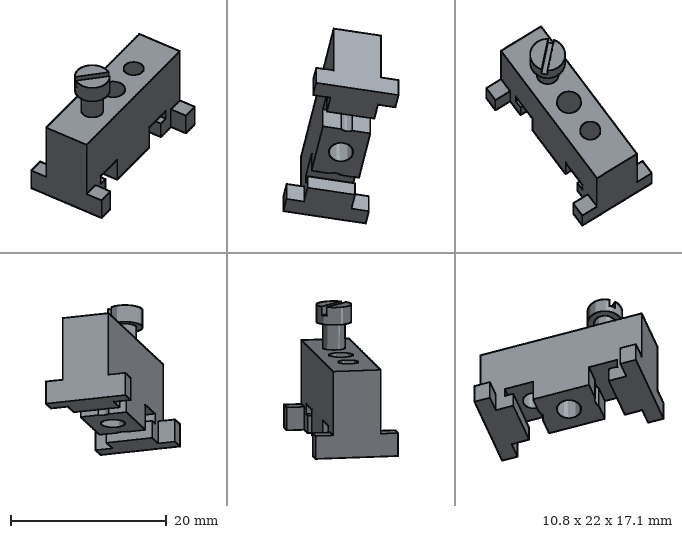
import cadquery as cq

length = 22.0
body_width = 6.23
body_top = 11.37
foot_span = 10.8
tab_length = 2.11
tab_height = 3.01

block_half_length = 3.8
block_bottom = 0.22
notch_top = 3.63
ledge_top = 2.3
notch_outer = 7.65
ledge_inner = 6.51

hole_pitch = 4.88
end_hole_diameter = 2.6
middle_hole_diameter = 3.1
screw_y = -hole_pitch
shank_diameter = 2.88
head_diameter = 4.5
head_height = 2.29
total_height = 17.1
slot_width = 0.77
slot_depth = 1.15
slot_angle = 45


def box(x_size, y_range, z_range):
    """Block centred on X = 0 spanning the given Y and Z ranges."""
    y_min, y_max = y_range
    z_min, z_max = z_range
    return (
        cq.Workplane("XY", origin=(0, (y_min + y_max) / 2, z_min))
        .rect(x_size, y_max - y_min)
        .extrude(z_max - z_min)
    )


def cylinder(diameter, y, z_min, z_max):
    """Vertical cylinder on the row of holes."""
    return cq.Workplane("XY", origin=(0, y, z_min)).circle(diameter / 2).extrude(z_max - z_min)


def make_body():
    half_profile = [
        (0, block_bottom),
        (block_half_length, block_bottom),
        (block_half_length, notch_top),
        (notch_outer, notch_top),
        (notch_outer, ledge_top),
        (ledge_inner, ledge_top),
        (ledge_inner, 0),
        (length / 2, 0),
        (length / 2, body_top),
        (0, body_top),
    ]
    half = cq.Workplane("YZ").polyline(half_profile).close().extrude(body_width / 2, both=True)
    half = half.union(box(foot_span, (length / 2 - tab_length, length / 2), (0, tab_height)))
    return half.union(half.mirror("XZ"))


def make_screw():
    head_bottom = total_height - head_height
    shank = cylinder(shank_diameter, screw_y, notch_top, head_bottom)
    head = cylinder(head_diameter, screw_y, head_bottom, total_height)
    slot = (
        cq.Workplane("XY", origin=(0, screw_y, total_height - slot_depth))
        .transformed(rotate=(0, 0, slot_angle))
        .rect(head_diameter * 2, slot_width)
        .extrude(slot_depth)
    )
    return shank.union(head.cut(slot))


body = make_body()
for diameter, y in (
    (end_hole_diameter, hole_pitch),
    (middle_hole_diameter, 0),
    (end_hole_diameter, screw_y),
):
    body = body.cut(cylinder(diameter, y, 0, body_top))

result = body.union(make_screw())